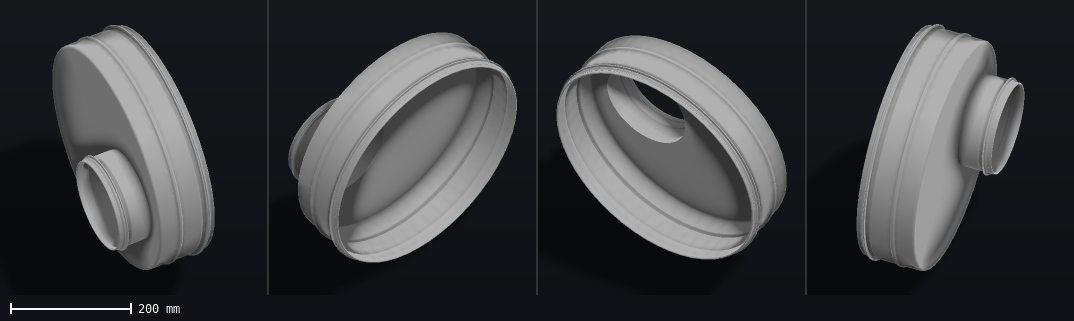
import cadquery as cq


SHELL_D = 399.0
SPIGOT_D = 159.0
SHELL_LENGTH = 102.5
SPIGOT_LENGTH = 60.0
SPIGOT_OFFSET = 87.0
SHEET = 0.6

COLLAR_D = 209.0

CORNER_R = 4.0
RIB_Y = 38.5
RIB_BASE = 8.5
RIB_TOP = 3.5
RIB_HEIGHT = 2.65
RIB_BEND_R = 1.2

GROOVE_DROP = 1.85
HEM_THICKNESS = 3.05
HEM_DEPTH = 5.7
HEM_INNER_DEPTH = 9.0
RAMP_START = 21.5
SHELL_RAMP_END = 25.0
SPIGOT_RAMP_END = 24.0
SHOULDER_BEND_R = 1.5

BAND_RISE = 0.5
BARB_RISE = 2.65
BARB_START = 7.8
BARB_TOP = 10.2
BARB_END = 11.5
LIP_RISE = 5.1
LIP_START = 14.0
LIP_END = 15.5


def ring_about_y(outline):
    """Solid of revolution about Y from a closed outline in the XY plane."""
    return outline.close().revolve(360, (0, 0, 0), (0, 1, 0))


def round_bends(part, axis_x, low_y, high_y, radius):
    """Round the circular edges centred on (axis_x, Y) with Y from low_y to high_y."""
    margin = SHEET / 2
    low_corner = (axis_x - margin, low_y - margin, -margin)
    high_corner = (axis_x + margin, high_y + margin, margin)
    return part.edges(cq.selectors.BoxSelector(low_corner, high_corner)).fillet(radius)


def coupling_end(tube_d, ramp_end):
    """Hemmed tip and gasket groove, with the tip at Y = 0 and the tube towards +Y."""
    outer = tube_d / 2
    hem_inner = outer - HEM_THICKNESS
    hem_round = HEM_THICKNESS / 2
    groove_outer = outer - GROOVE_DROP
    groove_inner = groove_outer - SHEET
    outline = (
        cq.Workplane("XY")
        .moveTo(outer, hem_round)
        .lineTo(outer, HEM_DEPTH)
        .lineTo(groove_outer, HEM_DEPTH)
        .lineTo(groove_outer, RAMP_START)
        .lineTo(outer, ramp_end)
        .lineTo(outer - SHEET, ramp_end)
        .lineTo(groove_inner, RAMP_START)
        .lineTo(groove_inner, HEM_INNER_DEPTH)
        .lineTo(hem_inner, HEM_INNER_DEPTH)
        .lineTo(hem_inner, hem_round)
        .threePointArc((outer - hem_round, 0), (outer, hem_round))
    )
    return ring_about_y(outline)


def gasket(tube_d):
    """Rubber ring filling the groove of a coupling whose tip is at Y = 0."""
    outer = tube_d / 2
    seat = outer - GROOVE_DROP
    band = outer + BAND_RISE
    outline = (
        cq.Workplane("XY")
        .moveTo(seat, HEM_DEPTH)
        .lineTo(band, HEM_DEPTH)
        .lineTo(band, BARB_START)
        .lineTo(outer + BARB_RISE, BARB_TOP)
        .lineTo(outer + BARB_RISE, BARB_END)
        .lineTo(band, BARB_END)
        .lineTo(band, LIP_START)
        .lineTo(outer + LIP_RISE, LIP_START)
        .lineTo(outer + LIP_RISE, LIP_END)
        .lineTo(seat, LIP_END)
    )
    return ring_about_y(outline)


def at_shell_end(part):
    """Turn a part made at Y = 0 to face +Y at the open end of the shell."""
    return part.rotate((0, 0, 0), (1, 0, 0), 180).translate((0, SHELL_LENGTH, 0))


def at_spigot_end(part):
    """Move a part made at Y = 0 to the open end of the offset spigot."""
    return part.translate((SPIGOT_OFFSET, -SPIGOT_LENGTH, 0))


def make_shell():
    """Wide shell: end plate, rounded corner, ribbed barrel and coupling."""
    outer = SHELL_D / 2
    inner = outer - SHEET
    barrel_end = SHELL_LENGTH - SHELL_RAMP_END
    inner_corner_r = CORNER_R - SHEET
    base_low = RIB_Y - RIB_BASE / 2
    base_high = RIB_Y + RIB_BASE / 2
    top_low = RIB_Y - RIB_TOP / 2
    top_high = RIB_Y + RIB_TOP / 2
    outline = (
        cq.Workplane("XY")
        .moveTo(0, 0)
        .lineTo(outer - CORNER_R, 0)
        .radiusArc((outer, CORNER_R), -CORNER_R)
        .lineTo(outer, base_low)
        .lineTo(outer + RIB_HEIGHT, top_low)
        .lineTo(outer + RIB_HEIGHT, top_high)
        .lineTo(outer, base_high)
        .lineTo(outer, barrel_end)
        .lineTo(inner, barrel_end)
        .lineTo(inner, base_high)
        .lineTo(inner + RIB_HEIGHT, top_high)
        .lineTo(inner + RIB_HEIGHT, top_low)
        .lineTo(inner, base_low)
        .lineTo(inner, CORNER_R)
        .radiusArc((outer - CORNER_R, SHEET), inner_corner_r)
        .lineTo(0, SHEET)
    )
    collar_hole = (
        cq.Workplane("XZ", origin=(SPIGOT_OFFSET, SHEET, 0)).circle(COLLAR_D / 2).extrude(SHEET)
    )
    barrel = round_bends(ring_about_y(outline), 0, base_low, base_high, RIB_BEND_R)
    return barrel.cut(collar_hole).union(at_shell_end(coupling_end(SHELL_D, SHELL_RAMP_END)))


def make_spigot():
    """Narrow spigot: collar, neck and coupling."""
    outer = SPIGOT_D / 2
    inner = outer - SHEET
    neck_end = SPIGOT_RAMP_END - SPIGOT_LENGTH
    outline = (
        cq.Workplane("XY")
        .moveTo(inner, neck_end)
        .lineTo(outer, neck_end)
        .lineTo(outer, 0)
        .lineTo(COLLAR_D / 2, 0)
        .lineTo(COLLAR_D / 2, SHEET)
        .lineTo(inner, SHEET)
    )
    neck = ring_about_y(outline).translate((SPIGOT_OFFSET, 0, 0))
    spigot_body = neck.union(at_spigot_end(coupling_end(SPIGOT_D, SPIGOT_RAMP_END)))
    ramp_start = RAMP_START - SPIGOT_LENGTH
    return round_bends(spigot_body, SPIGOT_OFFSET, ramp_start, neck_end, SHOULDER_BEND_R)


shell = make_shell()
spigot = make_spigot()
shell_gasket = at_shell_end(gasket(SHELL_D))
spigot_gasket = at_spigot_end(gasket(SPIGOT_D))

result = cq.Compound.makeCompound([shell.val(), spigot.val(), shell_gasket.val(), spigot_gasket.val()])